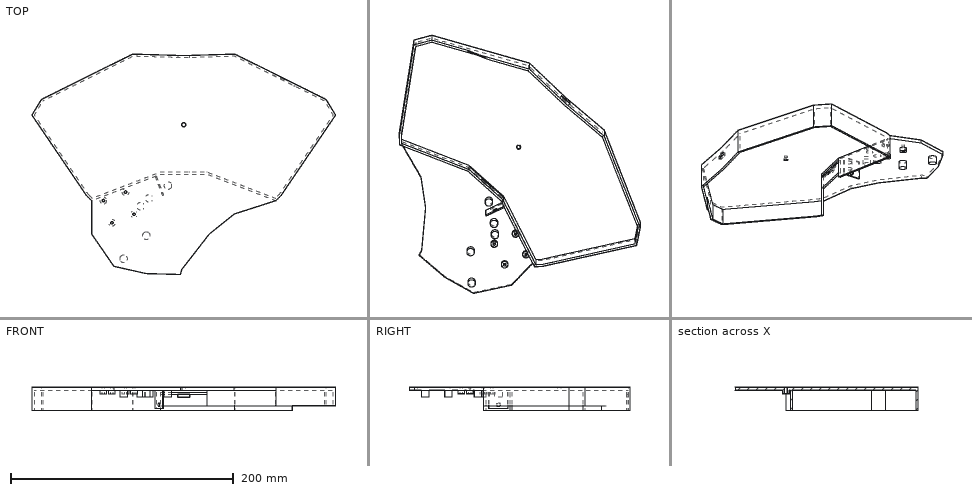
import cadquery as cq
import math


plate_thickness = 3.0
wall = 2.0
full_depth = 21.0
shallow_depth = 17.0

back_half_width = 45.8
back_y = 63.5
back_dip_y = 62.2
shoulder = (127.5, 23.0)
tip = (136.3, 8.7)
flank_end = (87.5, -63.3)
front_corner = (82.5, -68.2)
recess_half_width = 20.7
frame_angle = 21
frame_slope = math.tan(math.radians(frame_angle))
recess_y = front_corner[1] + (front_corner[0] - recess_half_width) * frame_slope

tongue_points = [
    (-front_corner[0], -98.2),
    (-62.7, -127.0),
    (-33.8, -133.5),
    (-3.0, -134.5),
    (-1.5, -129.8),
    (23.0, -98.2),
    (45.3, -80.2),
]

shallow_rim_end_x = 97.4

gap_top = 5.0
gap_bottom = 6.5
slot_width = 10.4
slot_bottom = 9.0

tab_start_x = -25.5
tab_length = 18.3
tab_thickness = 1.0
tab_depth = 19.0
tab_hole_diameter = 3.5
tab_hole_depth = 15.8

center_hole_diameter = 3.5
standoff_center = (-58.4, -74.2)
standoff_spacing = 21.3
standoff_diameter = 6.0
standoff_hole_diameter = 2.1
standoff_bottom = 6.0
post_diameter = 6.8
post_bottom = 9.0
post_places = [
    (-54.0, -120.3),
    (-33.5, -99.5),
    (-38.7, -73.0),
    (-31.0, -66.0),
    (-14.2, -54.5),
]


def mirrored(point):
    return (-point[0], point[1])


def prism(points, top, bottom):
    """Extrude an outline between two depths below the top face."""
    return cq.Workplane("XY").workplane(offset=-bottom).polyline(points).close().extrude(bottom - top)


def cylinders(places, diameter, top, bottom):
    """Upright cylinders between two depths below the top face."""
    return (
        cq.Workplane("XY").workplane(offset=-bottom)
        .pushPoints(places).circle(diameter / 2).extrude(bottom - top)
    )


def box_between(x_range, y_range, top, bottom):
    (x0, x1), (y0, y1) = x_range, y_range
    return prism([(x0, y0), (x1, y0), (x1, y1), (x0, y1)], top, bottom)


right_side = [front_corner, flank_end, tip, shoulder, (back_half_width, back_y)]
left_side = [mirrored(point) for point in reversed(right_side)]
back_outline = right_side + [(0, back_dip_y)] + left_side
recess_floor = [(-recess_half_width, recess_y), (recess_half_width, recess_y)]


def make_plate():
    return prism(back_outline + tongue_points, 0, plate_thickness)


def make_walls():
    """Walls along the body outline, open at the bottom."""
    outer = prism(back_outline + recess_floor, 0, full_depth)
    inner = (
        cq.Workplane("XY").workplane(offset=-full_depth)
        .polyline(back_outline + recess_floor).close()
        .offset2D(-wall, "intersection").extrude(full_depth)
    )
    return outer.cut(inner)


def shallow_cut():
    """Space below the right and recess walls, which stop short of the full depth."""
    back_slope = (shoulder[1] - back_y) / (shoulder[0] - back_half_width)
    rim_y = back_y + (shallow_rim_end_x - back_half_width) * back_slope
    rim_back_y = rim_y + (shallow_rim_end_x - back_half_width) * frame_slope
    rim_right_y = rim_y - (tip[0] - shallow_rim_end_x) * frame_slope
    outline = [
        (-recess_half_width, front_corner[1]),
        (tip[0], front_corner[1]),
        (tip[0], rim_right_y),
        (back_half_width, rim_back_y),
        (-recess_half_width, rim_back_y),
    ]
    return prism(outline, shallow_depth, full_depth)


def wall_openings():
    """Long gap in the recess wall and a slot through both the recess wall and the back wall."""
    gap = box_between(
        (-recess_half_width, recess_half_width), (recess_y, recess_y + wall), gap_top, gap_bottom
    )
    slot = box_between((-slot_width / 2, slot_width / 2), (recess_y, back_y), gap_bottom, slot_bottom)
    return gap.union(slot)


def make_tab():
    """Thin tab square to the left side of the recess, with a cross hole."""
    start_y = front_corner[1] + (front_corner[0] + tab_start_x) * frame_slope
    tab = box_between((0, tab_thickness), (-tab_length, wall / 2), 0, tab_depth)
    hole = (
        cq.Workplane("YZ").center(-tab_length / 2, -tab_hole_depth)
        .circle(tab_hole_diameter / 2).extrude(tab_thickness)
    )
    return tab.cut(hole).rotate((0, 0, 0), (0, 0, 1), frame_angle).translate((tab_start_x, start_y, 0))


def standoff_places():
    """Corners of a square turned by the frame angle."""
    radius = standoff_spacing / math.sqrt(2)
    places = []
    for corner in range(4):
        angle = math.radians(frame_angle + 45 + 90 * corner)
        x = standoff_center[0] + radius * math.cos(angle)
        y = standoff_center[1] + radius * math.sin(angle)
        places.append((x, y))
    return places


body = make_walls().cut(shallow_cut()).cut(wall_openings())
body = body.union(make_plate()).union(make_tab())
body = body.union(cylinders(standoff_places(), standoff_diameter, 0, standoff_bottom))
body = body.union(cylinders(post_places, post_diameter, 0, post_bottom))
body = body.cut(cylinders(standoff_places(), standoff_hole_diameter, 0, standoff_bottom))
result = body.cut(cylinders([(0, 0)], center_hole_diameter, 0, plate_thickness))